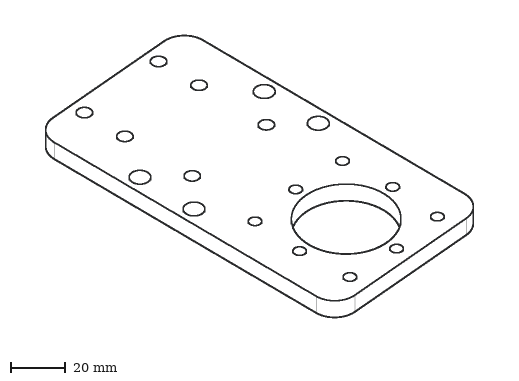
import cadquery as cq

length = 150.0
width = 80.0
thickness = 8.0
corner_radius = 10.0

bore_x = 43.0
bore_diameter = 40.0
mount_hole_diameter = 5.0
axial_offset = 25.0
diagonal_offset = 23.5

medium_diameter = 6.0
medium_xs = [-68.5, -48.5, -15.0]
medium_y = 20.0

large_diameter = 8.0
large_xs = [-28.5, -1.6]
large_y = 33.5


def drill(plate, points, diameter):
    """Cut through holes of one diameter at the given XY points."""
    return plate.faces(">Z").workplane(origin=(0, 0, thickness)).pushPoints(points).hole(diameter)


def mirrored_rows(xs, y):
    """Points at every x, on both sides of the X axis."""
    return [(x, side * y) for x in xs for side in (-1, 1)]


plate = cq.Workplane("XY").box(length, width, thickness, centered=(True, True, False))
plate = plate.edges("|Z").fillet(corner_radius)

axial_points = [(bore_x + side * axial_offset, 0) for side in (-1, 1)]
axial_points += mirrored_rows([bore_x], axial_offset)
diagonal_xs = [bore_x - diagonal_offset, bore_x + diagonal_offset]
diagonal_points = mirrored_rows(diagonal_xs, diagonal_offset)

plate = drill(plate, [(bore_x, 0)], bore_diameter)
plate = drill(plate, axial_points + diagonal_points, mount_hole_diameter)
plate = drill(plate, mirrored_rows(medium_xs, medium_y), medium_diameter)
plate = drill(plate, mirrored_rows(large_xs, large_y), large_diameter)

result = plate